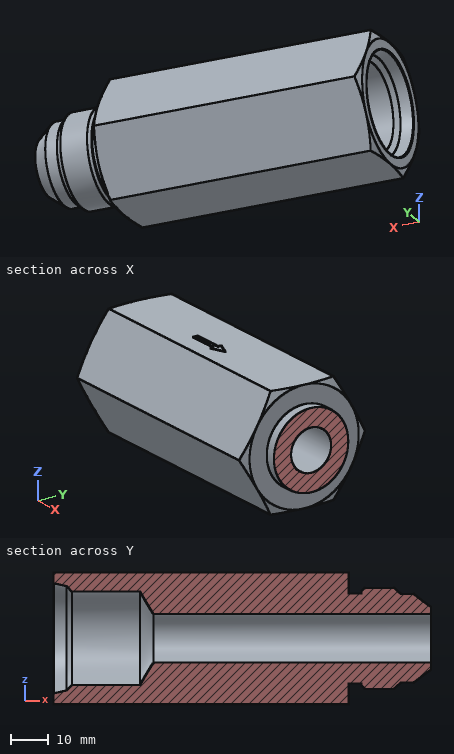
import cadquery as cq
import math

total_length = 100.33
hex_across_flats = 35.05
hex_across_corners = hex_across_flats / math.cos(math.radians(30))
hex_length = 78.5
corner_chamfer_depth = 0.98

neck_diameter = 24.05
collar_diameter = 26.98
land_diameter = 23.7
neck_length = 3.3
collar_back_chamfer = 0.85
collar_back_diameter = collar_diameter - 2 * collar_back_chamfer
collar_length = 8.7
collar_front_chamfer = 1.77
land_length = 3.43
nose_half_angle = 37.0
collar_start = hex_length + neck_length
collar_front_edge = collar_start + collar_length
land_start = collar_front_edge + collar_front_chamfer
nose_start = land_start + land_length
nose_length = total_length - nose_start
nose_tip_diameter = land_diameter - 2 * nose_length * math.tan(math.radians(nose_half_angle))

port_mouth_diameter = 29.5
lip_chamfer = 0.2
seat_mouth_diameter = port_mouth_diameter - 2 * lip_chamfer
seat_inner_diameter = 27.6
seat_depth = 3.5
bore_diameter = 24.7
bore_start = 4.9
bore_end = 23.0
through_diameter = 12.7
drill_half_angle = 59.0
cone_length = (bore_diameter - through_diameter) / 2 / math.tan(math.radians(drill_half_angle))

arrow_tail_x = 31.5
arrow_head_x = 41.2
arrow_tip_x = 45.7
arrow_centre_y = -3.0
arrow_shaft_width = 1.5
arrow_head_width = 3.5
arrow_depth = 0.2


def revolve_about_x(profile_points):
    """Revolve a closed (x, radius) outline about the X axis."""
    outline = cq.Workplane("XY").polyline(profile_points).close()
    return outline.revolve(360, (0, 0, 0), (1, 0, 0))


def make_hex_body():
    """Hexagonal bar with flats up and down and conically chamfered corners at both ends."""
    bar = cq.Workplane("YZ").polygon(6, hex_across_corners).extrude(hex_length)
    flat_radius = hex_across_flats / 2
    corner_radius = hex_across_corners / 2
    envelope = revolve_about_x([
        (0, 0),
        (0, flat_radius),
        (corner_chamfer_depth, corner_radius),
        (hex_length - corner_chamfer_depth, corner_radius),
        (hex_length, flat_radius),
        (hex_length, 0),
    ])
    return bar.intersect(envelope)


def make_male_end():
    """Turned connector that continues the body in the +X direction."""
    neck_radius = neck_diameter / 2
    collar_radius = collar_diameter / 2
    land_radius = land_diameter / 2
    return revolve_about_x([
        (hex_length, 0),
        (hex_length, neck_radius),
        (collar_start, neck_radius),
        (collar_start, collar_back_diameter / 2),
        (collar_start + collar_back_chamfer, collar_radius),
        (collar_front_edge, collar_radius),
        (land_start, land_radius),
        (nose_start, land_radius),
        (total_length, nose_tip_diameter / 2),
        (total_length, 0),
    ])


def make_port():
    """Stepped cavity that opens at the -X end and runs through the whole part."""
    return revolve_about_x([
        (0, 0),
        (0, port_mouth_diameter / 2),
        (lip_chamfer, seat_mouth_diameter / 2),
        (seat_depth, seat_inner_diameter / 2),
        (bore_start, bore_diameter / 2),
        (bore_end, bore_diameter / 2),
        (bore_end + cone_length, through_diameter / 2),
        (total_length, through_diameter / 2),
        (total_length, 0),
    ])


def make_arrow():
    """Block in the shape of an arrow that points toward +X."""
    half_shaft = arrow_shaft_width / 2
    half_head = arrow_head_width / 2
    outline = [
        (arrow_tail_x, -half_shaft),
        (arrow_head_x, -half_shaft),
        (arrow_head_x, -half_head),
        (arrow_tip_x, 0),
        (arrow_head_x, half_head),
        (arrow_head_x, half_shaft),
        (arrow_tail_x, half_shaft),
    ]
    floor = cq.Workplane("XY", origin=(0, arrow_centre_y, hex_across_flats / 2 - arrow_depth))
    cutter_height = 2 * arrow_depth
    return floor.polyline(outline).close().extrude(cutter_height)


result = make_hex_body().union(make_male_end()).cut(make_port()).cut(make_arrow())